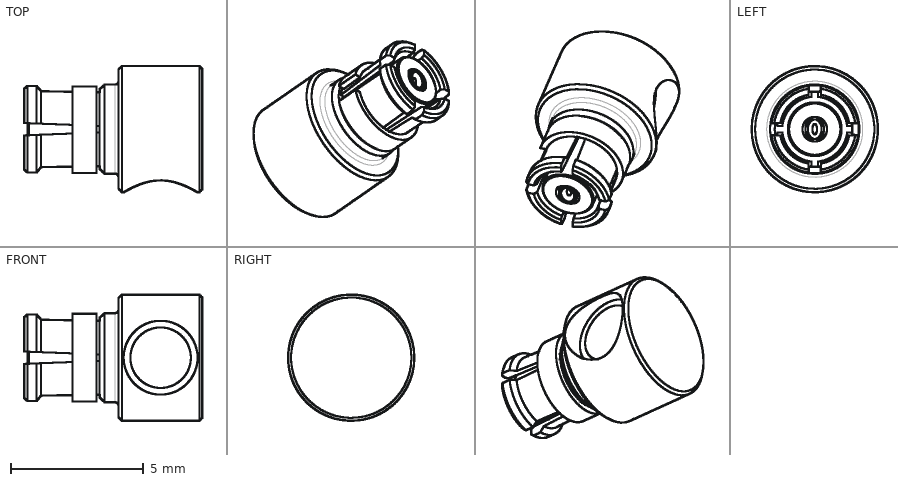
import cadquery as cq
import math

TOTAL_LENGTH = 6.73
LIP_CREST_START = 0.12
LIP_CREST_END = 0.465
LIP_BACK = 0.64
RING_FRONT = 1.825
RING_BACK = 2.73
SOCKET_FLOOR = 2.855
COLLAR_CREST = 3.04
BODY_FRONT = 3.56

BODY_RADIUS = 4.78 / 2
FRONT_CHAMFER = 0.135
REAR_CHAMFER = 0.115
COLLAR_RADIUS = 3.38 / 2
COLLAR_FACE_RADIUS = 1.515
NECK_FILLET = 0.13
LIP_FACE_RADIUS = 1.55
LIP_RADIUS = 1.655
FINGER_FRONT_RADIUS = 1.455
FINGER_BACK_RADIUS = 1.405

MOUTH_RADIUS = 2.645 / 2
BORE_RADIUS = 1.23
MOUTH_CHAMFER = 0.135

SLOT_COUNT = 4
SLOT_TIP_WIDTH = 0.465
SLOT_ROOT_WIDTH = 0.25

CORE_FACE = 0.13
CORE_RADIUS = 2.03 / 2
CORE_CHAMFER = 0.05

CONTACT_FACE = CORE_FACE
CONTACT_RADIUS = 0.93 / 2
CONTACT_LENGTH = 2.02
TIP_LENGTH = 0.54
MOUTH_HALF_WIDTH = 0.35
FUNNEL_HALF_WIDTH = 0.26
FUNNEL_HALF_HEIGHT = 0.37
PIT_HALF_WIDTH = 0.09
PIT_HALF_HEIGHT = 0.195
FUNNEL_DEPTH = 0.16
PIT_DEPTH = 0.405

ACCESS_X = 5.155
ACCESS_RADIUS = 2.79 / 2
ACCESS_INNER_RADIUS = 2.29 / 2
LEDGE_Y = -1.495
ACCESS_FLOOR_Y = 0.67

RING_RADIUS = 3.325 / 2
RING_GAP = 0.74


def finger_radius(x):
    """Outer radius of the tapered fingers at station x."""
    fraction = (x - LIP_BACK) / (SOCKET_FLOOR - LIP_BACK)
    return FINGER_FRONT_RADIUS + fraction * (FINGER_BACK_RADIUS - FINGER_FRONT_RADIUS)


def revolve_about_x(profile):
    return profile.close().revolve(360, (0, 0, 0), (1, 0, 0))


def housing_blank():
    """Solid of revolution from the finger lip to the rear face."""
    fillet_middle = NECK_FILLET * math.sqrt(0.5)
    profile = (
        cq.Workplane("XY")
        .lineTo(0, LIP_FACE_RADIUS)
        .lineTo(LIP_CREST_START, LIP_RADIUS)
        .lineTo(LIP_CREST_END, LIP_RADIUS)
        .lineTo(LIP_BACK, FINGER_FRONT_RADIUS)
        .lineTo(SOCKET_FLOOR, FINGER_BACK_RADIUS)
        .lineTo(SOCKET_FLOOR, COLLAR_FACE_RADIUS)
        .lineTo(COLLAR_CREST, COLLAR_RADIUS)
        .lineTo(BODY_FRONT - NECK_FILLET, COLLAR_RADIUS)
        .threePointArc(
            (BODY_FRONT - NECK_FILLET + fillet_middle, COLLAR_RADIUS + NECK_FILLET - fillet_middle),
            (BODY_FRONT, COLLAR_RADIUS + NECK_FILLET),
        )
        .lineTo(BODY_FRONT, BODY_RADIUS - FRONT_CHAMFER)
        .lineTo(BODY_FRONT + FRONT_CHAMFER, BODY_RADIUS)
        .lineTo(TOTAL_LENGTH - REAR_CHAMFER, BODY_RADIUS)
        .lineTo(TOTAL_LENGTH, BODY_RADIUS - REAR_CHAMFER)
        .lineTo(TOTAL_LENGTH, 0)
    )
    return revolve_about_x(profile)


def socket_cut():
    """Round socket with a chamfered mouth."""
    profile = (
        cq.Workplane("XY")
        .lineTo(0, MOUTH_RADIUS)
        .lineTo(MOUTH_CHAMFER, BORE_RADIUS)
        .lineTo(SOCKET_FLOOR, BORE_RADIUS)
        .lineTo(SOCKET_FLOOR, 0)
    )
    return revolve_about_x(profile)


def slot_cut(angle):
    """One tapered slot reaching outward from the axis."""
    outline = [
        (0, -SLOT_TIP_WIDTH / 2),
        (SOCKET_FLOOR, -SLOT_ROOT_WIDTH / 2),
        (SOCKET_FLOOR, SLOT_ROOT_WIDTH / 2),
        (0, SLOT_TIP_WIDTH / 2),
    ]
    slot = cq.Workplane("XY").polyline(outline).close().extrude(BODY_RADIUS)
    return slot.rotate((0, 0, 0), (1, 0, 0), angle)


def insulator_core():
    """Chamfered cylinder rooted in the socket floor."""
    core = cq.Workplane("YZ", origin=(CORE_FACE, 0, 0)).circle(CORE_RADIUS).extrude(SOCKET_FLOOR - CORE_FACE)
    return core.faces("<X").chamfer(CORE_CHAMFER)


def access_cut():
    """Stepped blind hole entering from the -Y side."""
    def bore(radius, floor_y):
        plane = cq.Workplane("XZ", origin=(ACCESS_X, floor_y, 0))
        return plane.circle(radius).extrude(floor_y + BODY_RADIUS)

    return bore(ACCESS_RADIUS, LEDGE_Y).union(bore(ACCESS_INNER_RADIUS, ACCESS_FLOOR_Y))


def contact_hole():
    plane = cq.Workplane("YZ", origin=(CORE_FACE, 0, 0))
    return plane.circle(CONTACT_RADIUS).extrude(CONTACT_LENGTH)


def make_housing():
    housing = housing_blank().cut(socket_cut())
    for index in range(SLOT_COUNT):
        housing = housing.cut(slot_cut(index * 360 / SLOT_COUNT))
    return housing.union(insulator_core()).cut(contact_hole()).cut(access_cut())


def make_contact():
    """Round contact with an elliptical tip, a funnel and a blind pit."""
    mouth = cq.Workplane("YZ", origin=(CONTACT_FACE, 0, 0))
    tip = mouth.ellipse(MOUTH_HALF_WIDTH, CONTACT_RADIUS).extrude(TIP_LENGTH)
    shank = mouth.workplane(offset=TIP_LENGTH).circle(CONTACT_RADIUS).extrude(CONTACT_LENGTH - TIP_LENGTH)
    funnel = (
        mouth.ellipse(FUNNEL_HALF_WIDTH, FUNNEL_HALF_HEIGHT)
        .workplane(offset=FUNNEL_DEPTH)
        .ellipse(PIT_HALF_WIDTH, PIT_HALF_HEIGHT)
        .loft(ruled=True)
    )
    pit = mouth.ellipse(PIT_HALF_WIDTH, PIT_HALF_HEIGHT).extrude(PIT_DEPTH)
    return tip.union(shank).cut(funnel).cut(pit)


def make_snap_ring():
    """Ring seated on the finger taper, open on the +Y side."""
    profile = (
        cq.Workplane("XY")
        .moveTo(RING_FRONT, finger_radius(RING_FRONT))
        .lineTo(RING_FRONT, RING_RADIUS)
        .lineTo(RING_BACK, RING_RADIUS)
        .lineTo(RING_BACK, finger_radius(RING_BACK))
    )
    gap = cq.Workplane("XY").box(TOTAL_LENGTH, BODY_RADIUS, RING_GAP, centered=(False, False, True))
    return revolve_about_x(profile).cut(gap)


housing = make_housing()
contact = make_contact()
snap_ring = make_snap_ring()

result = cq.Compound.makeCompound([
    housing.solids().val(),
    contact.solids().val(),
    snap_ring.solids().val(),
])